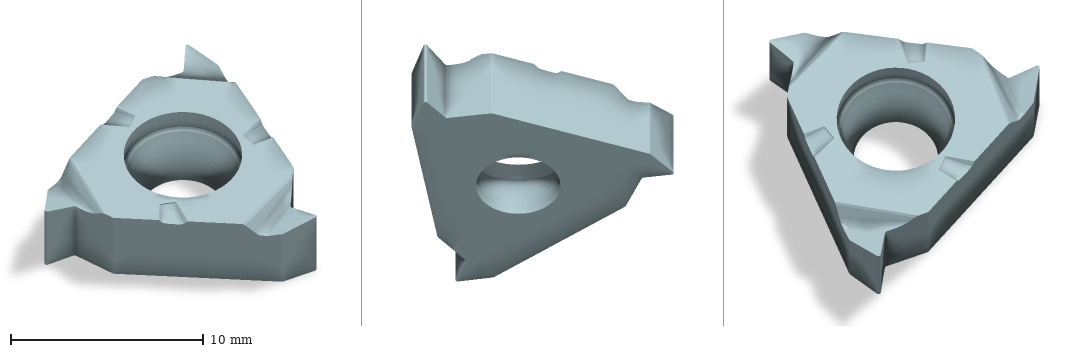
import cadquery as cq
import math

CORNER_COUNT = 3
THICKNESS = 4.19
SIDE_DISTANCE = 4.77
RELIEF_DISTANCE = 5.79

TOOTH_APEX = (-3.77, -7.31)
TOOTH_SHOULDER_Y = -5.5
INNER_FLANK_SLOPE = math.tan(math.radians(60))
TIP_RADIUS = 0.11
ROOT_RADIUS = 0.17
CORNER_RADIUS = 0.28

BORE_RADIUS = 4.4 / 2
COUNTERBORE_RADIUS = 3.08
COUNTERBORE_DEPTH = 1.09
LEDGE_WIDTH = 0.17
LEDGE_DROP = 0.17
LEDGE_SAG = 0.03
BOWL_DEPTH = 3.53

GROOVE_HALF_LENGTH = 2.82
GROOVE_REACH = 9.88
GROOVE_EDGE_X = 5.45
GROOVE_EDGE_SLANT = 0.04
LIP_WIDTH = 0.11
LIP_DEPTH = 0.08
WALL_FOOT_X = 5.88
WALL_FOOT_SLANT = -0.04
WALL_FOOT_DEPTH = 0.48
WALL_DEPTH_SLANT = -0.09
RAKE_START_X = 6.26
RAKE_START_SLANT = -0.05
RAKE_START_DEPTH = 0.614
RAKE_DEPTH_SLANT = -0.128
RAKE_SLOPE = 0.207
VALLEY_SAG = 0.05
GROOVE_MAX_DEPTH = 0.8

NOTCH_END = (-3.51, 0.55)
NOTCH_ANGLE = 194.5
NOTCH_LENGTH = 1.98
NOTCH_FLOOR_WIDTH = 0.65
NOTCH_END_DEPTH = 0.07
NOTCH_SLOPE = 0.14
NOTCH_WALL_RUN = 1.6
NOTCH_TOE_RUN = 0.8
NOTCH_TOE_HEIGHT = 0.2

TOOL_CLEARANCE = 0.14


def turned(point, degrees):
    angle = math.radians(degrees)
    x, y = point
    return (
        x * math.cos(angle) - y * math.sin(angle),
        x * math.sin(angle) + y * math.cos(angle),
    )


def make_body():
    apex_x, apex_y = TOOTH_APEX
    shoulder = (-SIDE_DISTANCE, TOOTH_SHOULDER_Y)
    root = (apex_x + (-RELIEF_DISTANCE - apex_y) / INNER_FLANK_SLOPE, -RELIEF_DISTANCE)
    side_end_x = 2 * SIDE_DISTANCE - math.sqrt(3) * RELIEF_DISTANCE
    side_end = (side_end_x, -RELIEF_DISTANCE)
    corners = [
        (shoulder, CORNER_RADIUS),
        (TOOTH_APEX, TIP_RADIUS),
        (root, ROOT_RADIUS),
        (side_end, CORNER_RADIUS),
    ]
    outline = []
    for index in range(CORNER_COUNT):
        outline += [turned(point, index * 360 / CORNER_COUNT) for point, _ in corners]
    body = cq.Workplane("XY").polyline(outline).close().extrude(THICKNESS)
    for index in range(CORNER_COUNT):
        for point, radius in corners:
            x, y = turned(point, index * 360 / CORNER_COUNT)
            edge = cq.selectors.NearestToPointSelector((x, y, THICKNESS / 2))
            body = body.edges("|Z").edges(edge).fillet(radius)
    return body


def make_hole():
    bowl_radius = COUNTERBORE_RADIUS - LEDGE_WIDTH
    ledge_z = THICKNESS - COUNTERBORE_DEPTH
    bowl_top = ledge_z - LEDGE_DROP
    bowl_bottom = THICKNESS - BOWL_DEPTH
    ledge_middle = (COUNTERBORE_RADIUS - LEDGE_WIDTH / 2, (ledge_z + bowl_top) / 2 - LEDGE_SAG)
    bowl_drop = bowl_top - bowl_bottom
    bowl_inset = bowl_radius - BORE_RADIUS
    arc_radius = (bowl_drop**2 + bowl_inset**2) / (2 * bowl_inset)
    half_sweep = math.asin(bowl_drop / arc_radius) / 2
    bowl_middle = (
        BORE_RADIUS + arc_radius * (1 - math.cos(half_sweep)),
        bowl_bottom + arc_radius * math.sin(half_sweep),
    )
    return (
        cq.Workplane("XZ")
        .lineTo(BORE_RADIUS, 0)
        .lineTo(BORE_RADIUS, bowl_bottom)
        .threePointArc(bowl_middle, (bowl_radius, bowl_top))
        .threePointArc(ledge_middle, (COUNTERBORE_RADIUS, ledge_z))
        .lineTo(COUNTERBORE_RADIUS, THICKNESS)
        .lineTo(0, THICKNESS)
        .close()
        .revolve(360, (0, 0, 0), (0, 1, 0))
    )


def groove_section(y):
    edge_x = GROOVE_EDGE_X + GROOVE_EDGE_SLANT * y
    foot = (WALL_FOOT_X + WALL_FOOT_SLANT * y, -WALL_FOOT_DEPTH - WALL_DEPTH_SLANT * y)
    rake_x = RAKE_START_X + RAKE_START_SLANT * y
    rake_z = -RAKE_START_DEPTH - RAKE_DEPTH_SLANT * y
    valley = ((foot[0] + rake_x) / 2, (foot[1] + rake_z) / 2 - VALLEY_SAG)
    rake_end_z = rake_z + RAKE_SLOPE * (GROOVE_REACH - rake_x)
    roof = THICKNESS
    return (
        cq.Workplane("XZ", origin=(0, y, THICKNESS))
        .moveTo(edge_x, roof)
        .lineTo(edge_x, 0)
        .lineTo(edge_x + LIP_WIDTH, -LIP_DEPTH)
        .lineTo(*foot)
        .threePointArc(valley, (rake_x, rake_z))
        .lineTo(GROOVE_REACH, rake_end_z)
        .lineTo(GROOVE_REACH, roof)
        .close()
        .val()
    )


def make_groove():
    sections = [groove_section(-GROOVE_HALF_LENGTH), groove_section(GROOVE_HALF_LENGTH)]
    groove = cq.Workplane(cq.Solid.makeLoft(sections, True))
    allowed = (
        cq.Workplane("XY", origin=(0, 0, THICKNESS - GROOVE_MAX_DEPTH))
        .rect(2 * GROOVE_REACH, 2 * GROOVE_REACH)
        .extrude(2 * THICKNESS)
    )
    return groove.intersect(allowed)


def notch_section(distance):
    depth = NOTCH_END_DEPTH + NOTCH_SLOPE * distance
    floor = NOTCH_FLOOR_WIDTH / 2
    toe = floor + NOTCH_TOE_RUN * depth
    top = floor + NOTCH_WALL_RUN * depth
    toe_z = -depth * (1 - NOTCH_TOE_HEIGHT)
    half = [(floor, -depth), (toe, toe_z), (top, 0), (top, TOOL_CLEARANCE)]
    mirrored = [(-y, z) for y, z in reversed(half)]
    return (
        cq.Workplane("YZ", origin=(distance, 0, 0))
        .polyline(half + mirrored)
        .close()
        .val()
    )


def make_notch():
    sections = [notch_section(0), notch_section(NOTCH_LENGTH)]
    notch = cq.Workplane(cq.Solid.makeLoft(sections, True))
    notch = notch.rotate((0, 0, 0), (0, 0, 1), NOTCH_ANGLE)
    return notch.translate((*NOTCH_END, THICKNESS))


result = make_body().cut(make_hole())
for cutter in (make_groove(), make_notch()):
    for index in range(CORNER_COUNT):
        result = result.cut(cutter.rotate((0, 0, 0), (0, 0, 1), index * 360 / CORNER_COUNT))